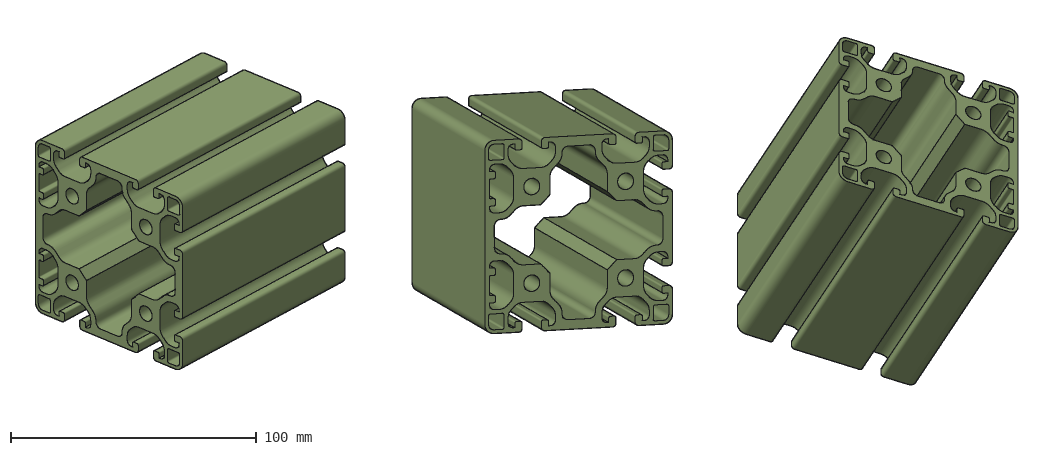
import cadquery as cq
import math

LENGTH = 100.0
SIDE = 80.0
OUTER_RADIUS = 4.0
HALF = SIDE / 2
CORE = SIDE / 4

MOUTH_HALF = 4.1
MOUTH_RADIUS = 1.5
LIP_WIDTH = 3.1
LIP_DEPTH = 4.5
LIP_RADIUS = 0.7
LIP_HALF = MOUTH_HALF + LIP_WIDTH
CLOSED_ROOT_RADIUS = 0.5
SKIN = 2.0
CHAMBER_HALF = 10.1
CHAMBER_DEPTH = 12.3
CHAMBER_DIAGONAL = 18.2
CHAMBER_TOP_RADIUS = 2.2
CHAMBER_FLANK_RADIUS = 5.0

CORE_HOLE = 6.8
CORE_HALF = 7.8
CORE_CHAMFER = 4.0

WALL = 4.1
WEB = 2.8
CAVITY_RADIUS = 2.6
WEB_OUTER_RADIUS = 5.5
WEB_ROOT_RADIUS = 5.0

POCKET_START = 1.6
POCKET_END = 8.2
POCKET_OUTER_RADIUS = OUTER_RADIUS - POCKET_START
POCKET_RADIUS = 0.8

QUADRANTS = [(1, 1), (-1, 1), (-1, -1), (1, -1)]


def toward(start, end, distance):
    """Point at a distance from start along the line to end."""
    ratio = distance / math.dist(start, end)
    return tuple(a + (b - a) * ratio for a, b in zip(start, end))


def rounded_prism(corners):
    """Full-length prism from (x, z, radius) corners, each rounded by a tangent arc."""
    points = [(x, z) for x, z, _ in corners]
    path = None
    for i, (x, z, radius) in enumerate(corners):
        corner = (x, z)
        before = points[i - 1]
        after = points[(i + 1) % len(points)]
        if radius == 0:
            path = path.lineTo(x, z) if path else cq.Workplane("XZ").moveTo(x, z)
            continue
        to_before = toward(corner, before, 1)
        to_after = toward(corner, after, 1)
        half_angle = math.asin(math.dist(to_before, to_after) / 2)
        setback = radius / math.tan(half_angle)
        bisector = ((to_before[0] + to_after[0]) / 2, (to_before[1] + to_after[1]) / 2)
        crown = toward(corner, bisector, radius / math.sin(half_angle) - radius)
        start = toward(corner, before, setback)
        path = path.lineTo(*start) if path else cq.Workplane("XZ").moveTo(*start)
        path = path.threePointArc(crown, toward(corner, after, setback))
    return path.close().extrude(LENGTH / 2, both=True)


def slot_side(is_open):
    """Half of a slot as (across, depth, radius), from the face to the floor."""
    mouth = [(MOUTH_HALF, SKIN, CLOSED_ROOT_RADIUS)]
    if is_open:
        clearance = 2 * MOUTH_RADIUS
        mouth = [
            (MOUTH_HALF + clearance, -clearance, 0),
            (MOUTH_HALF + clearance, 0, 0),
            (MOUTH_HALF, 0, MOUTH_RADIUS),
        ]
    return mouth + [
        (MOUTH_HALF, LIP_DEPTH, LIP_RADIUS),
        (LIP_HALF, LIP_DEPTH, LIP_RADIUS),
        (LIP_HALF, SKIN, 0),
        (CHAMBER_HALF, SKIN, CHAMBER_TOP_RADIUS),
        (CHAMBER_HALF, CHAMBER_DIAGONAL - CHAMBER_HALF, CHAMBER_FLANK_RADIUS),
        (CHAMBER_DIAGONAL - CHAMBER_DEPTH, CHAMBER_DEPTH, CHAMBER_FLANK_RADIUS),
    ]


def slot_cutter(sign_x, sign_z, on_x_face, is_open):
    """Slot beside one screw core, on an X face or a Z face."""
    side = slot_side(is_open)
    outline = [(CORE - across, HALF - depth, r) for across, depth, r in side]
    outline += [(CORE + across, HALF - depth, r) for across, depth, r in reversed(side)]
    if on_x_face:
        outline = [(z, x, r) for x, z, r in outline]
    return rounded_prism([(sign_x * x, sign_z * z, r) for x, z, r in outline])


def central_cavity():
    """Cross-shaped opening bounded by the walls, the webs and the screw cores."""
    wall_face = HALF - WALL
    web_face = CORE - CHAMBER_HALF - WEB
    core_face = CORE - CORE_HALF
    flank_sum = HALF + CORE - CHAMBER_DIAGONAL - WEB * math.sqrt(2)
    half_quadrant = [
        (core_face, core_face + CORE_CHAMFER, 0),
        (core_face, flank_sum - core_face, WEB_ROOT_RADIUS),
        (web_face, flank_sum - web_face, WEB_OUTER_RADIUS),
        (web_face, wall_face, CAVITY_RADIUS),
    ]
    quadrant = [(z, x, r) for x, z, r in reversed(half_quadrant)] + half_quadrant
    outline = []
    for sign_x, sign_z in QUADRANTS:
        ordered = quadrant if sign_x == sign_z else quadrant[::-1]
        outline += [(sign_x * x, sign_z * z, r) for x, z, r in ordered]
    return rounded_prism(outline)


def corner_pocket(sign_x, sign_z):
    """Square tube in a section corner, concentric with the outer rounding."""
    near = HALF - POCKET_START
    far = HALF - POCKET_END
    corners = [
        (near, near, POCKET_OUTER_RADIUS),
        (far, near, POCKET_RADIUS),
        (far, far, POCKET_RADIUS),
        (near, far, POCKET_RADIUS),
    ]
    return rounded_prism([(sign_x * x, sign_z * z, r) for x, z, r in corners])


body = rounded_prism([(x * HALF, z * HALF, OUTER_RADIUS) for x, z in QUADRANTS])
body = body.cut(central_cavity())

for sign_x, sign_z in QUADRANTS:
    body = body.cut(corner_pocket(sign_x, sign_z))
    body = body.cut(slot_cutter(sign_x, sign_z, on_x_face=False, is_open=True))
    body = body.cut(slot_cutter(sign_x, sign_z, on_x_face=True, is_open=sign_x > 0))

core_centers = [(x * CORE, z * CORE) for x, z in QUADRANTS]
core_holes = (
    cq.Workplane("XZ").pushPoints(core_centers).circle(CORE_HOLE / 2).extrude(LENGTH / 2, both=True)
)
result = body.cut(core_holes)